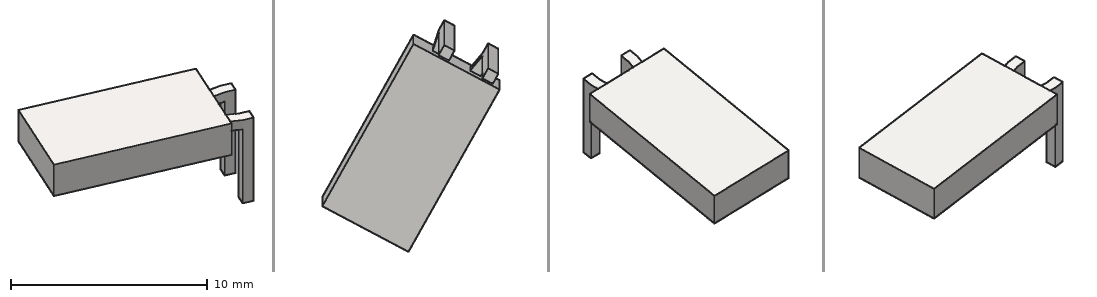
import cadquery as cq

body_width = 5.0
body_length = 9.7
body_height = 2.0

overall_length = 11.27
overall_height = 6.0
lead_size = 0.6
leg_pitch = 2.54
exit_pitch = 2.16

half_lead = lead_size / 2
lead_underside_z = body_height / 2 - half_lead
leg_bottom_z = body_height - overall_height
leg_front_y = overall_length - lead_size


def make_body():
    return cq.Workplane("XY").box(
        body_width, body_length, body_height, centered=(True, False, False)
    )


def make_lead(side):
    """One bent lead; side is -1 for the -X lead and +1 for the +X lead."""
    exit_x = side * exit_pitch / 2
    leg_x = side * leg_pitch / 2

    horizontal_run = (
        cq.Workplane("XY", origin=(0, 0, lead_underside_z))
        .moveTo(exit_x - half_lead, body_length)
        .lineTo(exit_x + half_lead, body_length)
        .lineTo(leg_x + half_lead, leg_front_y)
        .lineTo(leg_x + half_lead, overall_length)
        .lineTo(leg_x - half_lead, overall_length)
        .lineTo(leg_x - half_lead, leg_front_y)
        .close()
        .extrude(lead_size)
    )
    leg = (
        cq.Workplane("XY", origin=(leg_x, leg_front_y + half_lead, leg_bottom_z))
        .rect(lead_size, lead_size)
        .extrude(lead_underside_z - leg_bottom_z)
    )
    return horizontal_run.union(leg, clean=False)


result = make_body()
for lead_side in (-1, 1):
    result = result.union(make_lead(lead_side), clean=False)